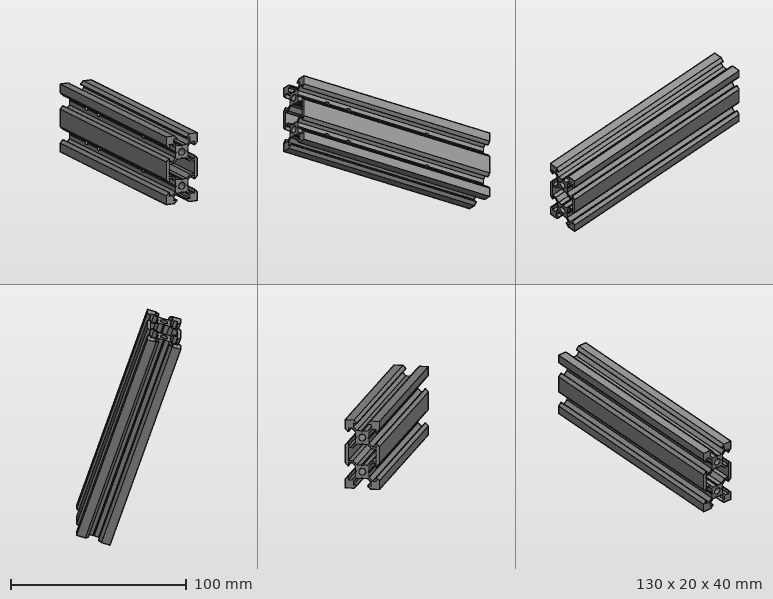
import cadquery as cq

length = 130.0
cell = 20.0
half_cell = cell / 2
cell_centers_z = (-half_cell, half_cell)

mouth_half_width = 4.8
pocket_half_width = 5.2
lip_thickness = 2.0
lip_tip_thickness = 0.2
bevel_depth = lip_thickness - lip_tip_thickness
neck_half_width = mouth_half_width - bevel_depth
lip_inside = half_cell - lip_thickness

flank_run = 1.24
flank_offset = 0.85

core_half = pocket_half_width - flank_run
nick_half_width = 0.45
nick_depth = 0.5
bore_diameter = 4.0

cavity_half_width = lip_inside
cavity_half_height = 3.8

cross_holes = (
    (20.5, 3.1),
    (35.5, 3.1),
    (90.2, 2.5),
)


def channel_outline(outer_points):
    """Mirror-symmetric channel that ends on a nicked core face.

    Points are (half width, distance from the cell centre), listed inwards.
    """
    right_side = outer_points + [
        (core_half - flank_offset, core_half),
        (nick_half_width, core_half),
    ]
    left_side = [(-across, out) for across, out in reversed(right_side)]
    nick_tip = (0, core_half - nick_depth)
    return right_side + [nick_tip] + left_side


def extrude_along_length(outline):
    return cq.Workplane("YZ").polyline(outline).close().extrude(length)


def slot_cutter(center_z, angle):
    """V-slot opening towards +Z of its cell, then turned by angle about the cell axis."""
    outline = channel_outline([
        (mouth_half_width, half_cell),
        (neck_half_width, half_cell - bevel_depth),
        (neck_half_width, lip_inside),
        (pocket_half_width, lip_inside),
        (pocket_half_width, pocket_half_width + flank_offset),
    ])
    cutter = extrude_along_length(outline)
    return cutter.rotate((0, 0, 0), (1, 0, 0), angle).translate((0, 0, center_z))


def central_cavity():
    """Hollow between the two cores, shaped by their facing sides."""
    wall_out = half_cell - cavity_half_height
    upper_channel = channel_outline([
        (cavity_half_width, wall_out),
        (wall_out - flank_offset, wall_out),
    ])
    upper_half = [(y, half_cell - out) for y, out in upper_channel]
    lower_half = [(-y, -z) for y, z in upper_half]
    return extrude_along_length(upper_half + lower_half)


def round_cutter(plane_name, positions, diameter, reach):
    """Round holes cut the given reach both ways from the plane."""
    return (
        cq.Workplane(plane_name)
        .pushPoints(positions)
        .circle(diameter / 2)
        .extrude(reach, both=True)
    )


result = cq.Workplane("XY").box(length, cell, 2 * cell, centered=(False, True, True))

for center_z in cell_centers_z:
    for side_angle in (90, -90):
        result = result.cut(slot_cutter(center_z, side_angle))
result = result.cut(slot_cutter(half_cell, 0))
result = result.cut(slot_cutter(-half_cell, 180))

result = result.cut(central_cavity())
bore_positions = [(0, z) for z in cell_centers_z]
result = result.cut(round_cutter("YZ", bore_positions, bore_diameter, length))

for distance, diameter in cross_holes:
    hole_positions = [(distance, z) for z in cell_centers_z]
    result = result.cut(round_cutter("XZ", hole_positions, diameter, half_cell))